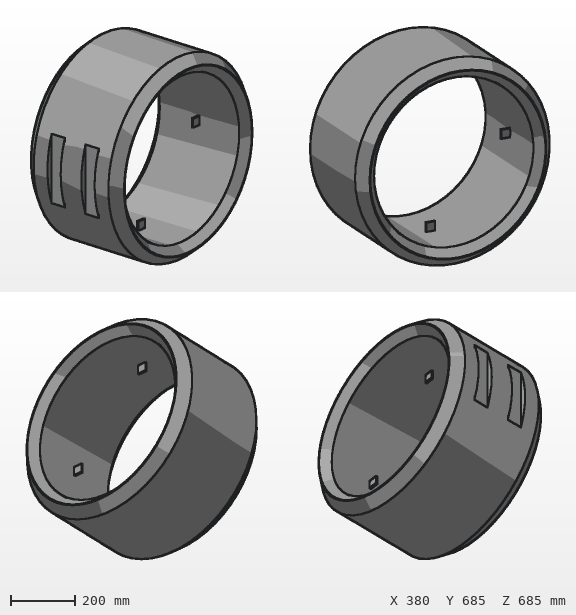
import cadquery as cq

length = 380.0
outer_radius = 342.5
bore_radius = 560.0 / 2
outer_bevel_length = 38.0
outer_bevel_depth = 31.5
end_rim_width = 3.0

slot_width = 54.0
slot_spacing = 138.5
slot_depth = 20.5

tab_count = 4
tab_width = 30.0
tab_height = 31.0
tab_thickness = 5.5
tab_root = 7.0

half_length = length / 2
rim_outer_radius = outer_radius - outer_bevel_depth
rim_inner_radius = rim_outer_radius - end_rim_width
inner_bevel_length = rim_inner_radius - bore_radius


def make_ring():
    """Revolve the wall section, bevelled inside and outside at both ends."""
    shoulder = half_length - outer_bevel_length
    bore_end = half_length - inner_bevel_length
    section = [
        (-half_length, rim_inner_radius),
        (-half_length, rim_outer_radius),
        (-shoulder, outer_radius),
        (shoulder, outer_radius),
        (half_length, rim_outer_radius),
        (half_length, rim_inner_radius),
        (bore_end, bore_radius),
        (-bore_end, bore_radius),
    ]
    profile = cq.Workplane("XY").polyline(section).close()
    return profile.revolve(360, (0, 0, 0), (1, 0, 0))


def make_slot(x):
    """Cutter whose flat floor lies slot_depth below the outer surface."""
    floor_y = slot_depth - outer_radius
    cutter = cq.Workplane("XY").box(
        slot_width, outer_radius, 2 * outer_radius, centered=(True, False, True)
    )
    return cutter.translate((x, floor_y - outer_radius, 0))


def make_tab(angle):
    """Plate with its +X face on the ring's middle plane, turned about X to its place."""
    tab = cq.Workplane("XY").box(
        tab_thickness, tab_width, tab_height + tab_root, centered=(True, True, False)
    )
    tab = tab.translate((-tab_thickness / 2, 0, bore_radius - tab_height))
    return tab.rotate((0, 0, 0), (1, 0, 0), angle)


result = make_ring()
for side in (-1, 1):
    result = result.cut(make_slot(side * slot_spacing / 2))
for index in range(tab_count):
    result = result.union(make_tab(index * 360 / tab_count))